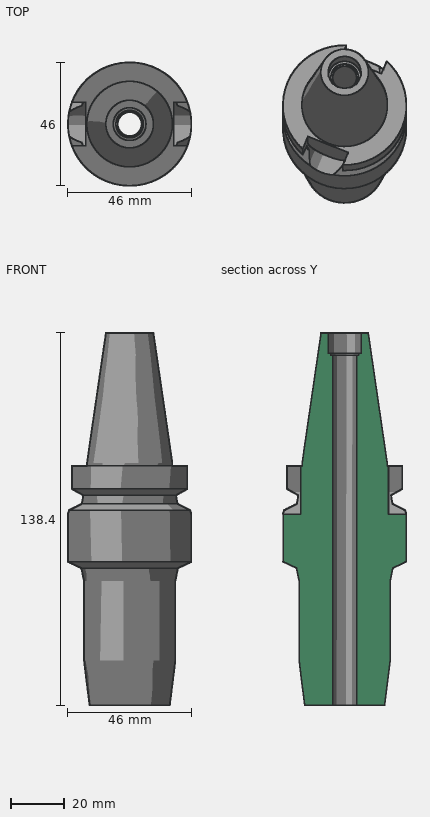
import cadquery as cq

total_height = 138.4
gauge_z = 90.0
flange_top_z = 89.0

taper_small_radius = 8.9
taper_large_radius = 15.9

flange_radius = 23.0
groove_radius = 19.1
groove_upper_edge_z = 80.4
groove_upper_root_z = 78.0
groove_lower_root_z = 74.9
groove_lower_edge_z = 72.5
flange_bottom_z = 53.3

neck_top_radius = 18.0
neck_top_z = 51.0
body_radius = 17.0
neck_bottom_z = 46.2
nose_top_z = 16.6
nose_radius = 15.0

slot_width = 16.2
slot_floor_x = 16.3
slot_bottom_z = 71.1

mouth_bore_radius = 6.1
mouth_bore_depth = 7.5
inner_bore_radius = 5.1
inner_bore_depth = 8.3
through_bore_radius = 4.4


def make_body():
    """Revolve the outer half profile about the Z axis."""
    return (
        cq.Workplane("XZ")
        .moveTo(0, 0)
        .lineTo(nose_radius, 0)
        .lineTo(body_radius, nose_top_z)
        .lineTo(body_radius, neck_bottom_z)
        .lineTo(neck_top_radius, neck_top_z)
        .lineTo(flange_radius, flange_bottom_z)
        .lineTo(flange_radius, groove_lower_edge_z)
        .lineTo(groove_radius, groove_lower_root_z)
        .lineTo(groove_radius, groove_upper_root_z)
        .lineTo(flange_radius, groove_upper_edge_z)
        .lineTo(flange_radius, flange_top_z)
        .lineTo(taper_large_radius, flange_top_z)
        .lineTo(taper_large_radius, gauge_z)
        .lineTo(taper_small_radius, total_height)
        .lineTo(0, total_height)
        .close()
        .revolve(360, (0, 0, 0), (0, 1, 0))
    )


def make_drive_slot():
    """Round-bottomed slot on the +X side, open at the flange top."""
    half_width = slot_width / 2
    arc_center_z = slot_bottom_z + half_width
    return (
        cq.Workplane("YZ", origin=(slot_floor_x, 0, 0))
        .moveTo(-half_width, gauge_z)
        .lineTo(-half_width, arc_center_z)
        .threePointArc((0, slot_bottom_z), (half_width, arc_center_z))
        .lineTo(half_width, gauge_z)
        .close()
        .extrude(flange_radius)
    )


def make_bore(radius, depth):
    """Cylinder reaching down from the small end of the taper."""
    return cq.Workplane("XY", origin=(0, 0, total_height - depth)).circle(radius).extrude(depth)


result = make_body()

for angle in (0, 180):
    result = result.cut(make_drive_slot().rotate((0, 0, 0), (0, 0, 1), angle))

bore_steps = (
    (mouth_bore_radius, mouth_bore_depth),
    (inner_bore_radius, inner_bore_depth),
    (through_bore_radius, total_height),
)
for bore_radius, bore_depth in bore_steps:
    result = result.cut(make_bore(bore_radius, bore_depth))